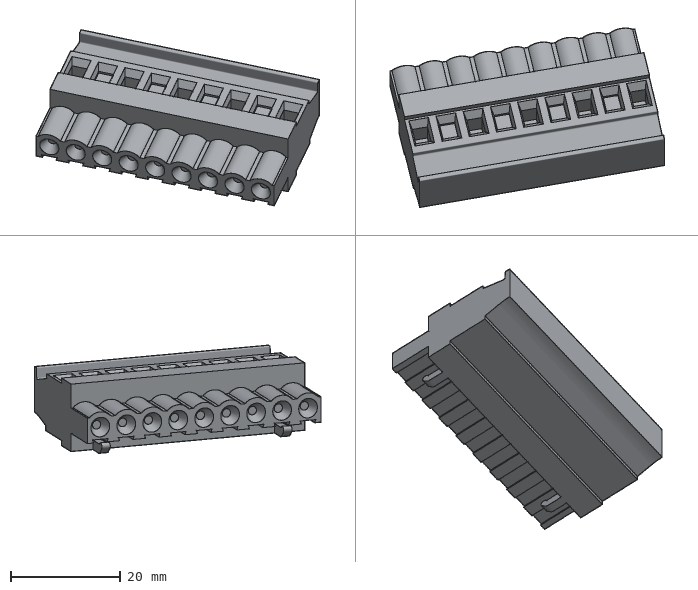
import cadquery as cq
import math


pole_count = 9
width = 45.7
depth = 27.1
height = 12.7
pitch = width / pole_count

collar_front_y = 8.3
collar_back_y = 13.3
collar_step = 0.95
deck_z = height - collar_step
belly_z = collar_step
deck_back_y = 20.9
belly_back_y = 21.4
taper_angle = math.radians(15)
groove_front_z = 10.9
lip_top_thickness = 1.05
lip_root_thickness = 1.2
lip_round = 0.25
top_edge_round = 0.15
groove_round = 0.25
step_round = 0.25
underside_back_z = 3.1
underside_arc_radius = 9.6

nose_bottom_z = 3.45
nose_shelf_z = 8.25
sleeve_axis_z = 6.3
sleeve_radius = 2.9
socket_mouth_diameter = 3.65
socket_floor_diameter = 1.6
socket_depth = 1.9

keyway_depth = 0.6
keyway_mouth_width = 2.65
keyway_root_width = 3.0

well_mouth_x = 3.65
well_mouth_front_y = 13.7
well_mouth_back_y = 19.35
well_floor_x = 2.85
well_floor_front_y = 14.95
well_floor_back_y = 18.15
well_funnel_depth = 1.15
shallow_well_drop = 0.4
deep_well_drop = 3.65

hook_width = 1.65
hook_arm_thickness = 1.8
hook_tip_radius = 0.65
hook_tip_y = 4.35
hook_tip_z = 1.55
hook_heel_round = 0.9
hook_root_round = 0.25


def pole_x(index):
    """X position of a pole axis."""
    return (index + 0.5) * pitch


def make_body():
    """Housing with stepped collar, rear marking groove and tapered underside."""
    lip_top_y = depth - lip_top_thickness
    lip_root_y = depth - lip_root_thickness
    groove_back_z = groove_front_z - (lip_root_y - deck_back_y) * math.tan(taper_angle)
    arc_end_y = depth - underside_arc_radius * math.sin(taper_angle)
    arc_end_z = underside_back_z - underside_arc_radius * (1 - math.cos(taper_angle))
    arc_mid_y = depth - underside_arc_radius * math.sin(taper_angle / 2)
    arc_mid_z = underside_back_z - underside_arc_radius * (1 - math.cos(taper_angle / 2))
    belly_end_z = arc_end_z - (arc_end_y - belly_back_y) * math.tan(taper_angle)
    profile = (
        cq.Workplane("YZ")
        .moveTo(collar_front_y, 0)
        .lineTo(collar_front_y, height)
        .lineTo(collar_back_y, height)
        .lineTo(collar_back_y, deck_z)
        .lineTo(deck_back_y, deck_z)
        .lineTo(deck_back_y, groove_front_z)
        .lineTo(lip_root_y, groove_back_z)
        .lineTo(lip_top_y, deck_z)
        .lineTo(depth, deck_z)
        .lineTo(depth, underside_back_z)
        .threePointArc((arc_mid_y, arc_mid_z), (arc_end_y, arc_end_z))
        .lineTo(belly_back_y, belly_end_z)
        .lineTo(belly_back_y, belly_z)
        .lineTo(collar_back_y, belly_z)
        .lineTo(collar_back_y, 0)
        .close()
    )
    body = profile.extrude(width)
    rounded_edges = (
        (lip_top_y, deck_z, lip_round),
        (depth, deck_z, top_edge_round),
        (lip_root_y, groove_back_z, groove_round),
        (deck_back_y, deck_z, top_edge_round),
        (deck_back_y, groove_front_z, step_round),
    )
    for edge_y, edge_z, radius in rounded_edges:
        edge = cq.selectors.NearestToPointSelector((width / 2, edge_y, edge_z))
        body = body.edges(edge).fillet(radius)
    return body


def make_nose():
    """Plug nose: a flat bar with a rounded sleeve over every pole."""
    nose = cq.Workplane("XY").box(
        width, collar_front_y, nose_shelf_z - nose_bottom_z, centered=False
    ).translate((0, 0, nose_bottom_z))
    shelf_rise = nose_shelf_z - sleeve_axis_z
    half_chord = math.sqrt(sleeve_radius ** 2 - shelf_rise ** 2)
    for index in range(pole_count):
        sleeve = (
            cq.Workplane("XZ", origin=(pole_x(index), collar_front_y, sleeve_axis_z))
            .moveTo(-half_chord, shelf_rise)
            .threePointArc((0, sleeve_radius), (half_chord, shelf_rise))
            .close()
            .extrude(collar_front_y)
        )
        nose = nose.union(sleeve)
    return nose


def make_socket(x):
    """Conical contact opening in the front of a sleeve."""
    return (
        cq.Workplane("XZ", origin=(x, 0, sleeve_axis_z))
        .circle(socket_mouth_diameter / 2)
        .workplane(offset=-socket_depth)
        .circle(socket_floor_diameter / 2)
        .loft(ruled=True)
    )


def make_keyway(x):
    """Dovetail groove along the underside of the nose."""
    return (
        cq.Workplane("XZ", origin=(x, collar_front_y, nose_bottom_z))
        .polyline([
            (-keyway_mouth_width / 2, 0),
            (keyway_mouth_width / 2, 0),
            (keyway_root_width / 2, keyway_depth),
            (-keyway_root_width / 2, keyway_depth),
        ])
        .close()
        .extrude(collar_front_y)
    )


def make_well(x, drop):
    """Screw well: a tapered funnel above a straight rectangular shaft."""
    mouth_y = (well_mouth_front_y + well_mouth_back_y) / 2
    floor_y = (well_floor_front_y + well_floor_back_y) / 2
    floor_length_y = well_floor_back_y - well_floor_front_y
    funnel = (
        cq.Workplane("XY", origin=(x, mouth_y, deck_z))
        .rect(well_mouth_x, well_mouth_back_y - well_mouth_front_y)
        .workplane(offset=-well_funnel_depth)
        .center(0, floor_y - mouth_y)
        .rect(well_floor_x, floor_length_y)
        .loft(ruled=True)
    )
    shaft = (
        cq.Workplane("XY", origin=(x, floor_y, deck_z - well_funnel_depth))
        .rect(well_floor_x, floor_length_y)
        .extrude(-drop)
    )
    return funnel.union(shaft)


def make_hook(x):
    """Latch hook: a flat arm that turns up at 45 degrees to a round tip."""
    tangent = hook_tip_radius * math.sqrt(0.5)
    heel_y = hook_tip_y - tangent + hook_tip_z - tangent
    elbow_y = hook_tip_y + tangent + hook_tip_z + tangent - hook_arm_thickness
    profile = (
        cq.Workplane("YZ")
        .moveTo(collar_front_y, 0)
        .lineTo(heel_y, 0)
        .lineTo(hook_tip_y - tangent, hook_tip_z - tangent)
        .threePointArc(
            (hook_tip_y - tangent, hook_tip_z + tangent),
            (hook_tip_y + tangent, hook_tip_z + tangent),
        )
        .lineTo(elbow_y, hook_arm_thickness)
        .lineTo(collar_front_y, hook_arm_thickness)
        .close()
    )
    hook = profile.extrude(hook_width).translate((x - hook_width / 2, 0, 0))
    heel_edge = cq.selectors.NearestToPointSelector((x, heel_y, 0))
    return hook.edges(heel_edge).fillet(hook_heel_round)


result = make_body().union(make_nose())
for index in range(pole_count):
    well_drop = deep_well_drop if index % 2 == 0 else shallow_well_drop
    result = result.cut(make_socket(pole_x(index)))
    result = result.cut(make_keyway(pole_x(index)))
    result = result.cut(make_well(pole_x(index), well_drop))

for hook_x in (pitch, width - pitch):
    result = result.union(make_hook(hook_x))
    root_edge = cq.selectors.NearestToPointSelector((hook_x, collar_front_y, hook_arm_thickness))
    result = result.edges(root_edge).fillet(hook_root_round)